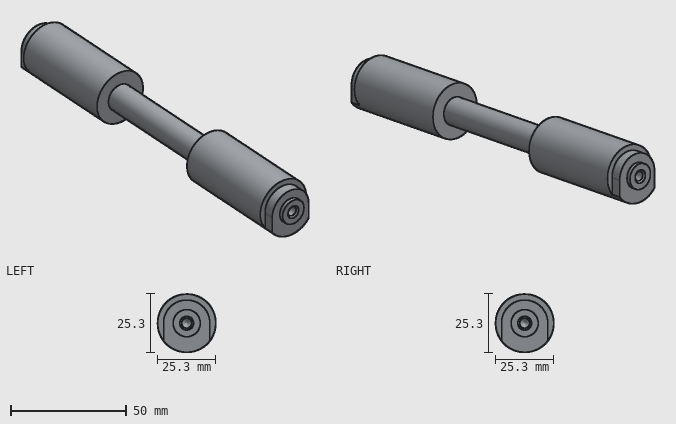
import cadquery as cq
import math

total_length = 181.0
boss_length = 2.0
collar_length = 5.0
sleeve_length = 51.8
collar_outer_x = total_length / 2 - boss_length
sleeve_outer_x = collar_outer_x - collar_length
sleeve_inner_x = sleeve_outer_x - sleeve_length

sleeve_diameter = 25.3
collar_width = 20.1
rod_diameter = 12.9
boss_diameter = 11.8

hole_diameter = 4.3
countersink_diameter = 6.0
hole_depth = 9.0
drill_point_angle = 118.0


def cylinder(diameter, start_x, end_x):
    """Cylinder about the X axis between two X positions."""
    return cq.Workplane("YZ", origin=(start_x, 0, 0)).circle(diameter / 2).extrude(end_x - start_x)


def collar_relief():
    """Material around the collar: leaves a round top and straight sides, open below."""
    side = collar_width / 2
    envelope = sleeve_diameter
    blank = cq.Workplane("YZ", origin=(sleeve_outer_x, 0, 0)).rect(envelope, envelope).extrude(collar_length)
    kept = (
        cq.Workplane("YZ", origin=(sleeve_outer_x, 0, 0))
        .moveTo(-side, -envelope)
        .lineTo(-side, 0)
        .threePointArc((0, side), (side, 0))
        .lineTo(side, -envelope)
        .close()
        .extrude(collar_length)
    )
    return blank.cut(kept)


def centre_hole():
    """Countersunk blind hole with a conical bottom, entering from the +X end."""
    mouth_x = total_length / 2
    hole_radius = hole_diameter / 2
    countersink_radius = countersink_diameter / 2
    countersink_depth = countersink_radius - hole_radius
    point_depth = hole_radius / math.tan(math.radians(drill_point_angle / 2))
    floor_x = mouth_x - hole_depth
    return (
        cq.Workplane("XY")
        .moveTo(mouth_x, 0)
        .lineTo(mouth_x, countersink_radius)
        .lineTo(mouth_x - countersink_depth, hole_radius)
        .lineTo(floor_x, hole_radius)
        .lineTo(floor_x - point_depth, 0)
        .close()
        .revolve(360, (0, 0, 0), (1, 0, 0))
    )


def end_body():
    """Sleeve, collar and boss at the +X end, with the centre hole cut."""
    sleeve = cylinder(sleeve_diameter, sleeve_inner_x, collar_outer_x)
    boss = cylinder(boss_diameter, collar_outer_x, total_length / 2)
    return sleeve.cut(collar_relief()).union(boss).cut(centre_hole())


rod = cylinder(rod_diameter, -sleeve_inner_x, sleeve_inner_x)
right_end = end_body()
left_end = right_end.mirror("YZ")
result = rod.union(right_end).union(left_end)